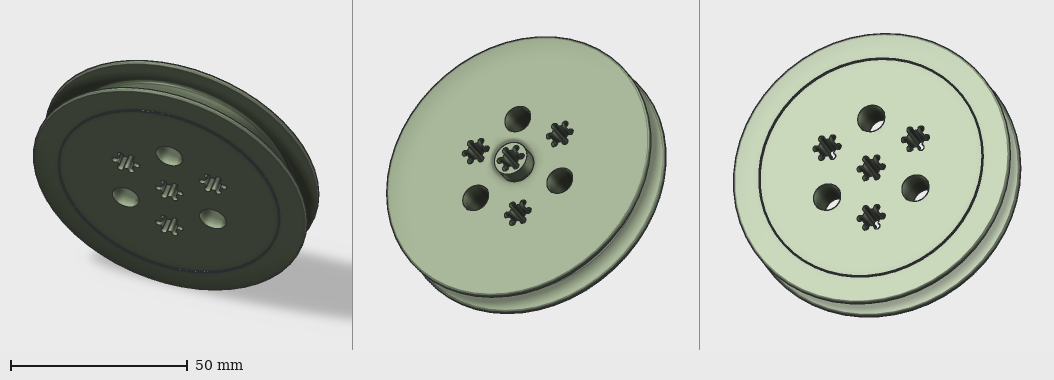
import cadquery as cq
import math

flange_thickness = 1.5
groove_width = 9.25
rim_width = 2 * flange_thickness + groove_width
front_rib_height = 0.5
boss_height = 5.0

flange_radius = 40.7
flange_edge_fillet = 0.5
hub_radius = 33.5
hub_fillet = 1.0
front_rib_radius = 33.0
front_rib_width = 0.3
boss_radius = 5.0

hole_circle_radius = 15.0
round_hole_angles = (90, 210, 330)
splined_hole_angles = (30, 150, 270)
round_hole_diameter = 8.0
spline_count = 6
spline_root_radius = 2.55
spline_tip_radius = 4.15
spline_lobe_radius = 0.9
spline_tooth_fillet = 0.3


def cylinder(radius, start, length):
    """Solid cylinder on the Y axis from y = start to y = start + length."""
    return cq.Workplane("XZ", origin=(0, start, 0)).circle(radius).extrude(-length)


def make_flange(start):
    """Thin disc with both outer edges rounded."""
    return cylinder(flange_radius, start, flange_thickness).edges().fillet(flange_edge_fillet)


def make_hub():
    """Winding hub between the flanges, flared by a fillet where it meets each one."""
    groove_start = flange_thickness
    groove_end = groove_start + groove_width
    flare_radius = hub_radius + hub_fillet
    diagonal = hub_fillet * math.sqrt(0.5)
    arc_radius = flare_radius - diagonal
    arc_inset = hub_fillet - diagonal
    profile = (
        cq.Workplane("XY")
        .moveTo(0, groove_start)
        .lineTo(flare_radius, groove_start)
        .threePointArc((arc_radius, groove_start + arc_inset), (hub_radius, groove_start + hub_fillet))
        .lineTo(hub_radius, groove_end - hub_fillet)
        .threePointArc((arc_radius, groove_end - arc_inset), (flare_radius, groove_end))
        .lineTo(0, groove_end)
        .close()
    )
    return profile.revolve(360, (0, 0, 0), (0, 1, 0))


def make_front_rib():
    """Narrow raised ring on the front face."""
    outer = cylinder(front_rib_radius, -front_rib_height, front_rib_height)
    inner = cylinder(front_rib_radius - front_rib_width, -front_rib_height, front_rib_height)
    return outer.cut(inner)


def polar(radius, angle_degrees):
    """Point (x, z) at the given radius and angle from +X."""
    angle = math.radians(angle_degrees)
    return (radius * math.cos(angle), radius * math.sin(angle))


def make_spline_cutter(center, length):
    """Lobed cutter centred at (x, z): a root circle joined to round lobes by small fillets."""
    pitch = 360 / spline_count
    lobe_center = spline_tip_radius - spline_lobe_radius

    fillet_center_radius = spline_root_radius + spline_tooth_fillet
    reach = spline_lobe_radius + spline_tooth_fillet
    cosine = (fillet_center_radius**2 + lobe_center**2 - reach**2) / (2 * fillet_center_radius * lobe_center)
    root_angle = math.degrees(math.acos(cosine))
    fillet_x, fillet_z = polar(fillet_center_radius, root_angle)

    lobe_direction = math.degrees(math.atan2(-fillet_z, lobe_center - fillet_x))
    root_direction = root_angle - 180
    middle_direction = (lobe_direction + root_direction) / 2

    def fillet_point(direction):
        """Radius and angle, seen from the cutter axis, of a point on the first fillet."""
        x, z = polar(spline_tooth_fillet, direction)
        x += fillet_x
        z += fillet_z
        return math.hypot(x, z), math.degrees(math.atan2(z, x))

    lobe_end_radius, lobe_end_angle = fillet_point(lobe_direction)
    middle_radius, middle_angle = fillet_point(middle_direction)

    outline = cq.Workplane("XZ").moveTo(*polar(lobe_end_radius, -lobe_end_angle))
    for index in range(spline_count):
        lobe = index * pitch
        next_lobe = lobe + pitch
        outline = (
            outline
            .threePointArc(polar(spline_tip_radius, lobe), polar(lobe_end_radius, lobe + lobe_end_angle))
            .threePointArc(
                polar(middle_radius, lobe + middle_angle),
                polar(spline_root_radius, lobe + root_angle),
            )
            .threePointArc(
                polar(spline_root_radius, lobe + pitch / 2),
                polar(spline_root_radius, next_lobe - root_angle),
            )
            .threePointArc(
                polar(middle_radius, next_lobe - middle_angle),
                polar(lobe_end_radius, next_lobe - lobe_end_angle),
            )
        )
    return outline.close().extrude(-length).translate((center[0], 0, center[1]))


def cut_holes(body):
    """Cut the splined bore and the alternating ring of round and splined holes."""
    length = rim_width + boss_height
    body = body.cut(make_spline_cutter((0, 0), length))
    for angle in splined_hole_angles:
        body = body.cut(make_spline_cutter(polar(hole_circle_radius, angle), length))
    for angle in round_hole_angles:
        x, z = polar(hole_circle_radius, angle)
        drill = cylinder(round_hole_diameter / 2, 0, length)
        body = body.cut(drill.translate((x, 0, z)))
    return body


spool = make_hub()
spool = spool.union(make_flange(0))
spool = spool.union(make_flange(flange_thickness + groove_width))
spool = spool.union(make_front_rib())
spool = spool.union(cylinder(boss_radius, rim_width, boss_height))
spool = cut_holes(spool)

result = spool.translate((0, -rim_width / 2, 0))